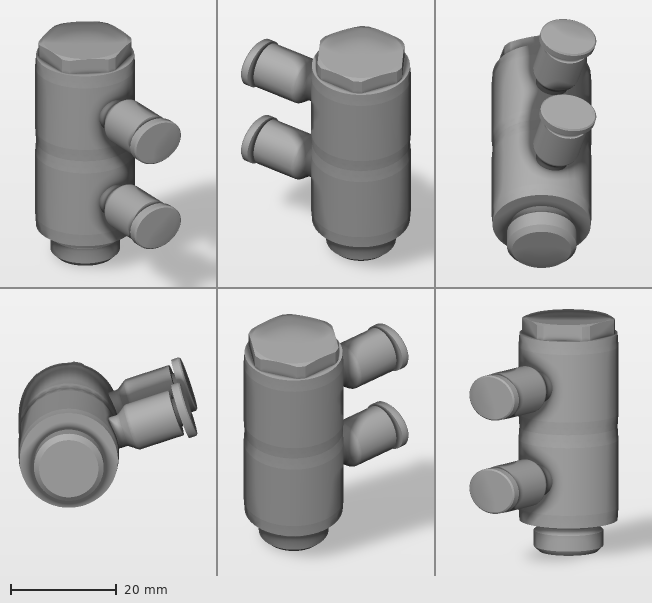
import cadquery as cq
import math


stud_radius = 6.6
stud_chamfer = 1.0
stud_shoulder_height = 4.0
neck_radius = 5.6
neck_bottom_height = 4.95
neck_flare_height = 5.5
neck_top_radius = 5.9

stud_height = 6.0
body_count = 2
body_height = 18.0
body_radius = 9.5
body_end_radius = 9.3
body_taper_height = 2.48

total_height = 45.0
head_across_flats = 16.0
head_corner_radius = 8.8
head_top_radius = 7.95
head_chamfer_drop = 0.25
head_sides = 6

port_neck_radius = 3.1
port_radius = 4.5
port_cone_start = 10.8
port_cone_end = 12.7
port_cone_fillet = 0.9
port_end = 21.5
collar_radius = 2.75
ring_start = 22.3
ring_end = 24.0
ring_half_width = 5.4
ring_half_height = 4.3
ring_chamfer = 0.25


def revolve_about_z(points):
    profile = cq.Workplane("XZ").polyline(points).close()
    return profile.revolve(360, (0, 0, 0), (0, 1, 0))


def make_stud():
    return revolve_about_z([
        (0, 0),
        (stud_radius - stud_chamfer, 0),
        (stud_radius, stud_chamfer),
        (stud_radius, stud_shoulder_height),
        (neck_radius, neck_bottom_height),
        (neck_radius, neck_flare_height),
        (neck_top_radius, stud_height),
        (0, stud_height),
    ])


def make_body(bottom):
    """Cylinder with a slight taper at both ends."""
    top = bottom + body_height
    return revolve_about_z([
        (0, bottom),
        (body_end_radius, bottom),
        (body_radius, bottom + body_taper_height),
        (body_radius, top - body_taper_height),
        (body_end_radius, top),
        (0, top),
    ])


def make_head(bottom):
    """Hexagon with flats facing +Y and -Y, its corners turned round and its top chamfered."""
    across_corners = head_across_flats / math.cos(math.pi / head_sides)
    hexagon = (
        cq.Workplane("XY")
        .workplane(offset=bottom)
        .polygon(head_sides, across_corners)
        .extrude(total_height - bottom)
    )
    turned_envelope = revolve_about_z([
        (0, bottom),
        (head_corner_radius, bottom),
        (head_corner_radius, total_height - head_chamfer_drop),
        (head_top_radius, total_height),
        (0, total_height),
    ])
    return hexagon.intersect(turned_envelope)


def make_port(height):
    """Push-in port along +X: necked sleeve, collar and oval release ring."""
    sleeve = (
        cq.Workplane("XY")
        .polyline([
            (0, 0),
            (0, port_neck_radius),
            (port_cone_start, port_neck_radius),
            (port_cone_end, port_radius),
            (port_end, port_radius),
            (port_end, 0),
        ])
        .close()
        .revolve(360, (0, 0, 0), (1, 0, 0))
    )
    cone_edges = cq.selectors.BoxSelector(
        (port_cone_start - port_cone_fillet, -port_end, -port_end),
        (port_cone_end + port_cone_fillet, port_end, port_end),
    )
    sleeve = sleeve.edges("%CIRCLE").edges(cone_edges).fillet(port_cone_fillet)

    collar = cq.Workplane("YZ").circle(collar_radius).extrude(ring_start)
    ring = (
        cq.Workplane("YZ")
        .workplane(offset=ring_start)
        .ellipse(ring_half_width, ring_half_height)
        .extrude(ring_end - ring_start)
        .faces(">X")
        .chamfer(ring_chamfer)
    )
    return sleeve.union(collar).union(ring).translate((0, 0, height))


result = make_stud()
for index in range(body_count):
    body_bottom = stud_height + index * body_height
    result = result.union(make_body(body_bottom))
    result = result.union(make_port(body_bottom + body_height / 2))
result = result.union(make_head(stud_height + body_count * body_height))